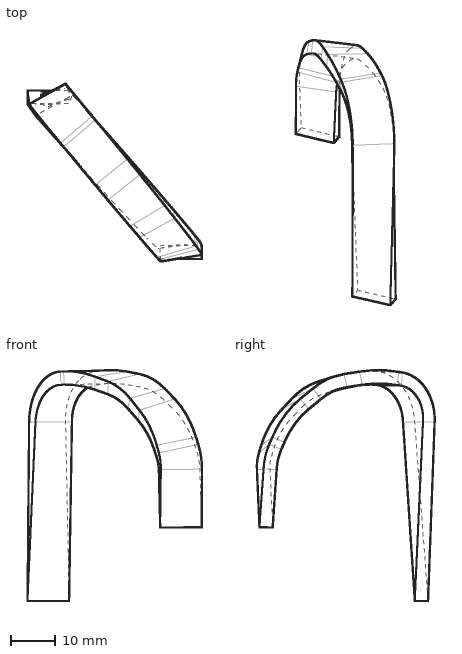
import cadquery as cq
import math


STRIP_WIDTH = 9.43
STRIP_THICKNESS = 3.03

FOOT_X = 4.75
FOOT_Y = 37.35
PLANE_ANGLE = math.radians(49.5)
LEG_LEAN = math.radians(1.1)

STRAIGHTS = [40.5, 1.12, 4.55, 4.3, 1.85, 13.1]
BENDS = [(9.8, 85.6), (43.0, 14.6), (19.3, 25.2), (20.4, 28.7), (9.75, 25.0)]
BEND_STEPS = 6

PATH_LENGTH = sum(STRAIGHTS) + sum(radius * math.radians(angle) for radius, angle in BENDS)

FORWARD = cq.Vector(math.cos(PLANE_ANGLE), -math.sin(PLANE_ANGLE), 0)
SIDEWAYS = cq.Vector(math.sin(PLANE_ANGLE), math.cos(PLANE_ANGLE), 0)
UP = cq.Vector(0, 0, 1)

FOOT_TWIST = math.pi / 2 - PLANE_ANGLE


def section(centre, heading, travelled):
    """Corners of the strip's cross-section, in order around it.

    heading is the angle of the centre line from FORWARD towards UP.
    travelled is the length covered from the long foot.
    """
    twist = FOOT_TWIST * (2 * travelled / PATH_LENGTH - 1)
    outward = UP * math.cos(heading) - FORWARD * math.sin(heading)
    across = SIDEWAYS * math.cos(twist) + outward * math.sin(twist)
    through = outward * math.cos(twist) - SIDEWAYS * math.sin(twist)
    half_width = across * (STRIP_WIDTH / 2)
    half_thickness = through * (STRIP_THICKNESS / 2)
    return [
        centre - half_width - half_thickness,
        centre + half_width - half_thickness,
        centre + half_width + half_thickness,
        centre - half_width + half_thickness,
    ]


def direction(heading):
    """Unit vector along the centre line."""
    return FORWARD * math.cos(heading) + UP * math.sin(heading)


def hook_stretches():
    """Cross-sections of each straight and each bend, from the long foot to the short foot."""
    centre = cq.Vector(FOOT_X, FOOT_Y, 0)
    heading = math.pi / 2
    travelled = 0
    stretches = []
    for index, length in enumerate(STRAIGHTS):
        start = section(centre, heading, travelled)
        lean = LEG_LEAN if index == 0 else 0
        centre = centre + direction(heading - lean) * length
        travelled += length
        stretches.append([start, section(centre, heading, travelled)])
        if index < len(BENDS):
            radius, angle = BENDS[index]
            step = math.radians(angle) / BEND_STEPS
            sections = [section(centre, heading, travelled)]
            for _ in range(BEND_STEPS):
                chord = 2 * radius * math.sin(step / 2)
                centre = centre + direction(heading - step / 2) * chord
                heading -= step
                travelled += radius * step
                sections.append(section(centre, heading, travelled))
            stretches.append(sections)
    return stretches


def corner_edge(points):
    """Long edge of a stretch: straight between two points, otherwise a smooth curve."""
    if len(points) == 2:
        return cq.Edge.makeLine(*points)
    return cq.Edge.makeSpline(points)


def side_faces(sections):
    """The four ruled faces around one stretch."""
    edges = [corner_edge(list(points)) for points in zip(*sections)]
    return [cq.Face.makeRuledSurface(edges[i - 1], edges[i]) for i in range(len(edges))]


def foot_face(corners):
    """Flat rectangular end of the strip."""
    return cq.Face.makeFromWires(cq.Wire.makePolygon(corners, close=True))


def make_hook():
    stretches = hook_stretches()
    faces = [foot_face(stretches[0][0]), foot_face(stretches[-1][-1])]
    for sections in stretches:
        faces += side_faces(sections)
    return cq.Solid.makeSolid(cq.Shell.makeShell(faces))


result = cq.Workplane("XY").newObject([make_hook()])